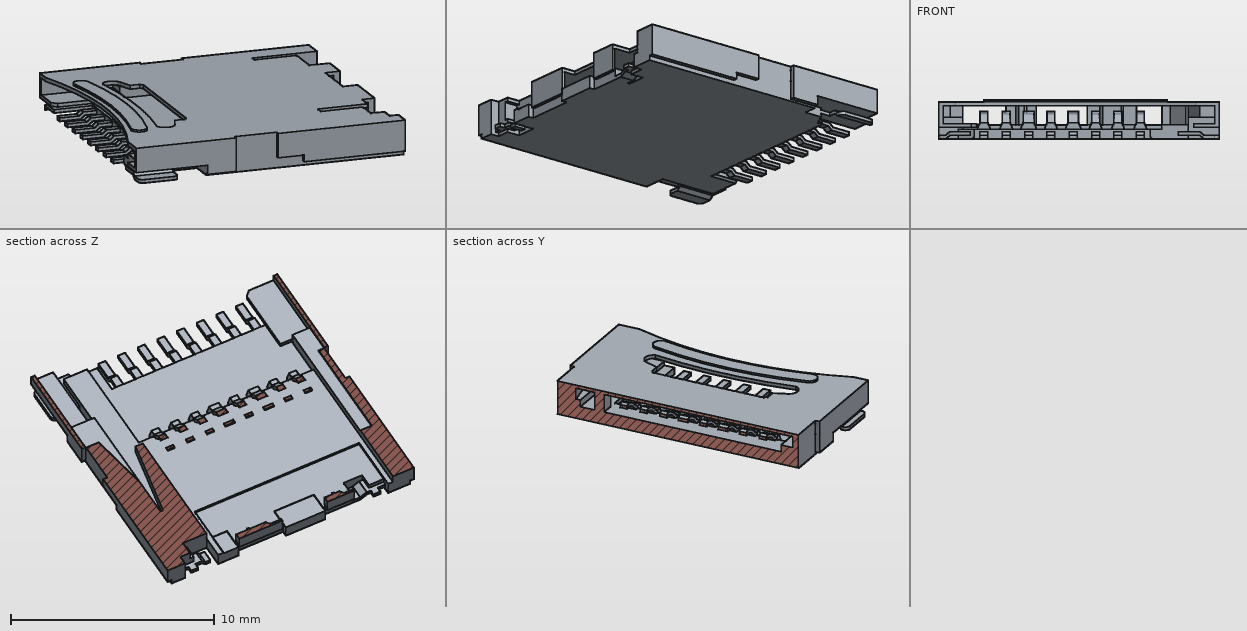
import cadquery as cq


width = 13.8
length = 14.1
height = 1.93
half_width = width / 2

emboss_height = 0.1
shell_top = height - emboss_height
sheet = 0.2
roof_underside = shell_top - sheet
side_wall = 0.23
inner_half = half_width - side_wall
side_notch_front = 5.25
side_notch_back = 7.43
front_leg_start = 3.75
front_leg_bottom = 0.11
rail_step = 8.81
rear_side_bottom = 0.24
side_bottom = 0.58

entry_left = -6.09
entry_right = 5.75
entry_depth = 0.99
entry_middle = (entry_left + entry_right) / 2

rear_wall_edge = 13.99
rear_open_edge = 12.92
rear_corner_edge = 13.63
rear_notch_edge = 13.21
slot_front = 10.72
left_slot = (-5.71, -5.39)
left_wall = (-3.6, -2.1)
right_wall = (0.4, 2.83)
right_slot = (3.64, 4.07)
right_notch_edge = 13.32
right_ledge = (5.19, 5.91)

floor_bottom_step = 0.48
floor_top = 0.7
floor_step_y = 5.92
base_front = 2.37
lip_front = 2.12
base_rear = 13.82
recess_left = -5.44
recess_right = 3.76
recess_front = 11.11
recess_floor = 0.59
rear_tab_top = 0.65
rear_tab_spans = ((-1.93, 0.28), (2.93, recess_right))
left_ledge_end = -4.62
base_left = -5.95
base_bevel = (0.79, 0.41)
right_block_front = 0.59
right_block_left = 3.51
lip_flare = 0.11
right_block_right = 5.39
guide_height = 1.07

contact_count = 8
contact_pitch = 1.1
first_contact_x = -4.68
contact_width = 0.4
wide_contact_width = 0.54
wide_contacts = (2, 4)
contact_tip = 0.17
metal = 0.18


def box(x_range, y_range, z_range):
    """Axis-aligned block given by its limits along X, Y and Z."""
    size = [limits[1] - limits[0] for limits in (x_range, y_range, z_range)]
    corner = (x_range[0], y_range[0], z_range[0])
    return cq.Workplane("XY").box(*size, centered=False).translate(corner)


def prism(points, z_range):
    """Vertical prism over a plan outline."""
    outline = cq.Workplane("XY", origin=(0, 0, z_range[0])).polyline(points).close()
    return outline.extrude(z_range[1] - z_range[0])


def xz_prism(points, y_range):
    """Prism along Y with a profile of (X, Z) points."""
    profile = cq.Workplane("XZ", origin=(0, y_range[0], 0)).polyline(points).close()
    return profile.extrude(y_range[0] - y_range[1])


def mirrored(span):
    """Limits reflected across X = 0."""
    return (-span[1], -span[0])


def roof():
    """Top sheet with the curved entry, waisted sides and stepped rear edge."""
    outline = (
        cq.Workplane("XY", origin=(0, 0, roof_underside))
        .moveTo(-half_width, 0)
        .lineTo(entry_left, 0)
        .threePointArc((entry_middle, entry_depth), (entry_right, 0))
        .lineTo(half_width, 0)
        .lineTo(half_width, side_notch_front)
        .lineTo(inner_half, side_notch_front)
        .lineTo(inner_half, side_notch_back)
        .lineTo(half_width, side_notch_back)
        .lineTo(half_width, length)
        .lineTo(right_ledge[1], length)
        .lineTo(right_ledge[1], rear_corner_edge)
        .lineTo(right_ledge[0], rear_corner_edge)
        .lineTo(right_ledge[0], rear_open_edge)
        .lineTo(right_slot[1], rear_open_edge)
        .lineTo(right_slot[1], slot_front)
        .lineTo(right_slot[0], slot_front)
        .lineTo(right_slot[0], right_notch_edge)
        .lineTo(right_wall[1], right_notch_edge)
        .lineTo(right_wall[1], rear_wall_edge)
        .lineTo(right_wall[0], rear_wall_edge)
        .lineTo(right_wall[0], rear_notch_edge)
        .lineTo(left_wall[1], rear_notch_edge)
        .lineTo(left_wall[1], rear_wall_edge)
        .lineTo(left_wall[0], rear_wall_edge)
        .lineTo(left_wall[0], rear_open_edge)
        .lineTo(left_slot[1], rear_open_edge)
        .lineTo(left_slot[1], slot_front)
        .lineTo(left_slot[0], slot_front)
        .lineTo(left_slot[0], length)
        .lineTo(-half_width, length)
        .lineTo(-half_width, side_notch_back)
        .lineTo(-inner_half, side_notch_back)
        .lineTo(-inner_half, side_notch_front)
        .lineTo(-half_width, side_notch_front)
        .close()
    )
    return outline.extrude(sheet)


def thumb_window():
    """Cutter for the roof opening: a straight-sided top over a rounded crescent."""
    half_top = 3.2
    top_y = 4.09
    corner = 0.14
    shoulder_y = 3.44
    lobe_half = 3.89
    lobe_top = 3.19
    lobe_reach = 4.22
    lobe_y = 2.71
    lobe_bottom = 2.25
    middle_bottom = 2.57
    outline = (
        cq.Workplane("XY", origin=(entry_middle, 0, roof_underside))
        .moveTo(-half_top + corner, top_y)
        .lineTo(half_top - corner, top_y)
        .lineTo(half_top, top_y - corner)
        .lineTo(half_top, shoulder_y)
        .lineTo(lobe_half, lobe_top)
        .threePointArc((lobe_reach, lobe_y), (lobe_half, lobe_bottom))
        .threePointArc((0, middle_bottom), (-lobe_half, lobe_bottom))
        .threePointArc((-lobe_reach, lobe_y), (-lobe_half, lobe_top))
        .lineTo(-half_top, shoulder_y)
        .lineTo(-half_top, top_y - corner)
        .close()
    )
    return outline.extrude(sheet)


def embossed_rib():
    """Raised curved rib with rounded ends along the card entry."""
    half_span = 4.12
    reach = 4.51
    end_y = 1.23
    half_rib = 0.41
    rise = 0.45
    outline = (
        cq.Workplane("XY", origin=(entry_middle, 0, shell_top))
        .moveTo(-half_span, end_y + half_rib)
        .threePointArc((0, end_y + rise + half_rib), (half_span, end_y + half_rib))
        .threePointArc((reach, end_y), (half_span, end_y - half_rib))
        .threePointArc((0, end_y + rise - half_rib), (-half_span, end_y - half_rib))
        .threePointArc((-reach, end_y), (-half_span, end_y + half_rib))
        .close()
    )
    return outline.extrude(emboss_height)


def side_walls():
    """Both outer walls, interrupted at the waist and stepped along the lower edge."""
    spans = (
        (0, front_leg_start, side_bottom),
        (front_leg_start, side_notch_front, front_leg_bottom),
        (side_notch_back, rail_step, side_bottom),
        (rail_step, length, rear_side_bottom),
    )
    left_x = (-half_width, -inner_half)
    walls = cq.Workplane("XY")
    for start, end, bottom in spans:
        for x_range in (left_x, mirrored(left_x)):
            walls = walls.add(box(x_range, (start, end), (bottom, shell_top)))
    return walls.combine()


def entry_flanges():
    """Sheet folded inward under the card at both front corners."""
    flange_z = (side_bottom, side_bottom + metal)
    left_edge = -5.3
    left_bevel = 0.27
    right_edge = 5.65
    left = prism(
        [
            (-half_width, 0),
            (left_edge, 0),
            (left_edge + left_bevel, left_bevel),
            (left_edge + left_bevel, front_leg_start),
            (-half_width, front_leg_start),
        ],
        flange_z,
    )
    return left.union(box((right_edge, half_width), (0, front_leg_start), flange_z))


def rear_wall(span, jog_x, rib_x):
    """Sheet folded down at the rear edge, with a slanted jog and a rib on its inner face."""
    thin = 0.14
    jog_width = 0.14
    wall_z = (floor_bottom_step, shell_top)
    inner_y = rear_wall_edge - thin
    rib_width = 0.11
    rib_depth = 0.07
    rib_y = (inner_y - sheet - rib_depth, rear_wall_edge)
    rib = box((rib_x, rib_x + rib_width), rib_y, wall_z)
    wall = prism(
        [
            (span[0], rear_wall_edge),
            (span[0], inner_y),
            (jog_x, inner_y),
            (jog_x + jog_width, inner_y - sheet),
            (span[1], inner_y - sheet),
            (span[1], rear_wall_edge),
        ],
        wall_z,
    )
    return wall.union(rib)


def shell():
    """Complete metal cover."""
    body = roof().cut(thumb_window()).union(embossed_rib())
    body = body.union(side_walls()).union(entry_flanges())
    rear_walls = ((left_wall, -3.1, -2.7), (right_wall, 1.03, 2.07))
    for span, jog_x, rib_x in rear_walls:
        body = body.union(rear_wall(span, jog_x, rib_x))
    return body


def floor():
    """Stepped floor plate with the right front block and the recess along the rear edge."""
    bevel_x, bevel_y = base_bevel
    plate = prism(
        [
            (base_left, base_front + bevel_y),
            (base_left + bevel_x, base_front),
            (right_block_left, base_front),
            (right_block_left, right_block_front),
            (right_block_right, right_block_front),
            (right_block_right, front_leg_start),
            (inner_half, front_leg_start),
            (inner_half, base_rear),
            (-inner_half, base_rear),
            (-inner_half, front_leg_start),
            (base_left, front_leg_start),
        ],
        (0, floor_bottom_step),
    )
    upper_z = (floor_bottom_step, floor_top)
    plate = plate.union(box((-inner_half, inner_half), (floor_step_y, base_rear), upper_z))
    block_x = (right_slot[1], right_block_right)
    plate = plate.union(box(block_x, (right_block_front, floor_step_y), upper_z))
    for x_range in ((-inner_half, recess_left), (recess_right, inner_half)):
        plate = plate.union(box(x_range, (recess_front, length), (0, floor_top)))
    undercut = xz_prism(
        [
            (right_block_left, 0),
            (right_block_left + lip_flare, 0),
            (right_block_left, lip_flare),
        ],
        (right_block_front, lip_front),
    )
    plate = plate.cut(undercut)
    recess_x = (recess_left, recess_right)
    return plate.cut(box(recess_x, (recess_front, base_rear), (recess_floor, floor_top)))


def front_lip():
    """Low front lip behind the contact feet, flared at the bottom of both ends."""
    left_end = base_left + base_bevel[0]
    return xz_prism(
        [
            (left_end - lip_flare, 0),
            (left_end, lip_flare),
            (left_end, floor_bottom_step),
            (right_block_left, floor_bottom_step),
            (right_block_left, lip_flare),
            (right_block_left + lip_flare, 0),
        ],
        (lip_front, base_front),
    )


def rear_tabs():
    """Low blocks in the recess that reach the rear face of the socket."""
    tabs = cq.Workplane("XY")
    for x_range in rear_tab_spans:
        tabs = tabs.add(box(x_range, (rear_open_edge, length), (0, rear_tab_top)))
    return tabs.combine()


def left_guide():
    """Stepped card guide inside the left wall."""
    post_x = -6.35
    lower_z = (floor_bottom_step, guide_height)
    upper_z = (guide_height, roof_underside)
    inner_x = left_slot[0]
    lower = box((-inner_half, inner_x), (front_leg_start, length), lower_z)
    rail = box((-inner_half, post_x), (side_notch_front, length), upper_z)
    stop = box((post_x, inner_x), (slot_front, length), upper_z)
    return lower.union(rail).union(stop)


def right_guide():
    """Card guide, slanted stop and ejector housing inside the right wall."""
    ramp_start = 5.95
    ramp_rear = 8.46
    lower = prism(
        [
            (right_block_right, front_leg_start),
            (inner_half, front_leg_start),
            (inner_half, length),
            (right_ledge[1], length),
            (right_ledge[1], rear_corner_edge),
            (right_block_right, rear_corner_edge),
        ],
        (floor_bottom_step, guide_height),
    )
    upper = prism(
        [
            (right_block_right, ramp_rear),
            (ramp_start, side_notch_front),
            (inner_half, side_notch_front),
            (inner_half, length),
            (right_ledge[1], length),
            (right_ledge[1], rear_corner_edge),
            (right_block_right, rear_corner_edge),
        ],
        (guide_height, roof_underside),
    )
    housing_front = 6.35
    slant_rear = 10.58
    slant_left = 4.5
    slant_right = 5.26
    housing = prism(
        [
            (right_slot[1], housing_front),
            (slant_left, housing_front),
            (slant_right, slant_rear),
            (right_block_right, slant_rear),
            (right_block_right, rear_open_edge),
            (right_slot[1], rear_open_edge),
        ],
        (floor_top, roof_underside),
    )
    return lower.union(upper).union(housing)


def contact(x, arm_width):
    """One contact: board foot in front, tapered root and sprung arm on the floor."""
    foot_end = 1.27
    rise_end = 1.5
    foot = (
        cq.Workplane("YZ", origin=(x - contact_width / 2, 0, 0))
        .moveTo(contact_tip, 0)
        .lineTo(foot_end, 0)
        .lineTo(rise_end, metal)
        .lineTo(base_front, metal)
        .lineTo(base_front, 2 * metal)
        .lineTo(rise_end - metal / 2, 2 * metal)
        .lineTo(foot_end - metal / 2, metal)
        .lineTo(contact_tip, metal)
        .close()
        .extrude(contact_width)
    )
    flare = 0.13
    root_length = 0.28
    root_rise = 0.11
    root_top = floor_top + root_rise
    half_arm = arm_width / 2
    root = xz_prism(
        [
            (x - half_arm - flare, floor_bottom_step),
            (x + half_arm + flare, floor_bottom_step),
            (x + half_arm, root_top),
            (x - half_arm, root_top),
        ],
        (floor_step_y - root_length, floor_step_y),
    )
    knee_reach, knee_z = 0.56, 1.24
    crest_reach, crest_z = 0.92, 1.37
    arm_reach = 1.41
    knee_y = floor_step_y + knee_reach
    crest_y = floor_step_y + crest_reach
    arm_end = floor_step_y + arm_reach
    arm = (
        cq.Workplane("YZ", origin=(x - half_arm, 0, 0))
        .moveTo(floor_step_y, floor_top)
        .lineTo(floor_step_y, root_top)
        .lineTo(knee_y, knee_z)
        .lineTo(crest_y, crest_z)
        .lineTo(arm_end, knee_z)
        .lineTo(arm_end, knee_z - metal)
        .lineTo(crest_y, crest_z - metal)
        .lineTo(knee_y, knee_z - metal)
        .lineTo(floor_step_y + metal, floor_top)
        .close()
        .extrude(arm_width)
    )
    return foot.union(root).union(arm)


def contacts():
    """Row of equally spaced contacts, some with a wider arm."""
    row = cq.Workplane("XY")
    for index in range(contact_count):
        arm_width = wide_contact_width if index in wide_contacts else contact_width
        row = row.add(contact(first_contact_x + index * contact_pitch, arm_width))
    return row.combine()


def joggled_strip(outer_x, ramp_start, ramp_end, inner_x, y_range):
    """Strip flat on the board at its outer end, ramping up by one sheet to its inner end."""
    points = [
        (outer_x, 0),
        (ramp_start, 0),
        (ramp_end, metal),
        (inner_x, metal),
        (inner_x, 2 * metal),
        (ramp_end, 2 * metal),
        (ramp_start, metal),
        (outer_x, metal),
    ]
    return xz_prism(points, y_range)


def front_feet():
    """Solder feet under both front corners, tied into the base behind them."""
    foot_y = (0.18, 2.23)
    left_flat = 0.32
    right_flat = 0.73
    ramp = 0.23
    corner_radius = 0.25
    left_inner = -5.35
    right_inner = 4.89
    tie_y = (foot_y[1], base_front + base_bevel[1])
    feet = box((base_left, left_inner), tie_y, (metal, 2 * metal))
    corners = ((-1, left_flat, left_inner), (1, right_flat, right_inner))
    for side, flat, inner_x in corners:
        ramp_start = side * (half_width - flat)
        ramp_end = ramp_start - side * ramp
        foot = joggled_strip(side * half_width, ramp_start, ramp_end, inner_x, foot_y)
        outer_edges = "<X" if side < 0 else ">X"
        foot = foot.faces(outer_edges).edges("|Z").fillet(corner_radius)
        feet = feet.union(foot)
    return feet


def foot_openings():
    """Cutter for the clearances around the two rear solder feet."""
    full_z = (0, floor_top)
    left = box((left_ledge_end, left_wall[0]), (rear_open_edge, length), full_z)
    left_edge = box((recess_left, left_ledge_end), (rear_corner_edge, length), full_z)
    right = box((right_slot[1], right_ledge[0]), (rear_open_edge, length), full_z)
    right_edge = box(right_ledge, (rear_corner_edge, length), full_z)
    return left.union(left_edge).union(right).union(right_edge)


def rear_feet():
    """Two joggled solder feet with square teeth at the rear edge."""
    left_front = 13.03
    left_ramp = (-4.03, -4.4)
    right_tip = 4.35
    right_ramp = (4.64, 4.82)
    tooth_width = 0.4
    left = joggled_strip(left_wall[0], *left_ramp, recess_left, (left_front, base_rear))
    right = joggled_strip(right_tip, *right_ramp, right_ledge[1], (rear_notch_edge, base_rear))
    feet = left.union(right)
    for tooth_x in (left_ledge_end - tooth_width, right_ledge[0]):
        tooth = box((tooth_x, tooth_x + tooth_width), (base_rear, length), (metal, 2 * metal))
        feet = feet.union(tooth)
    return feet


base = floor().union(front_lip()).union(rear_tabs()).cut(foot_openings())
base = base.union(left_guide()).union(right_guide())
result = shell().union(base).union(contacts()).union(front_feet()).union(rear_feet())